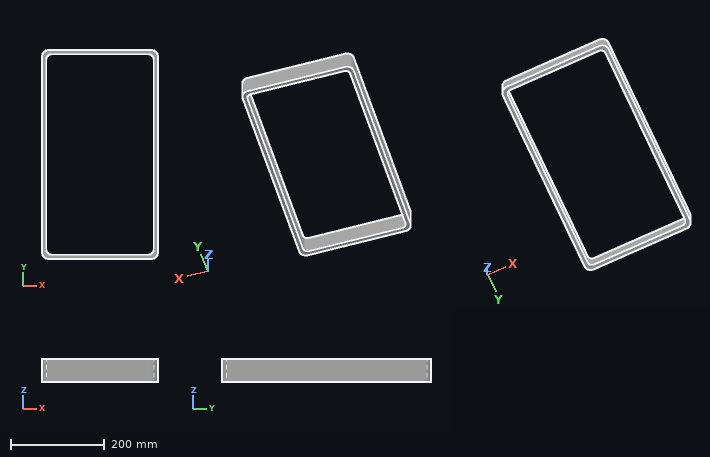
import cadquery as cq

LENGTH_X = 250.0
LENGTH_Y = 450.0
HEIGHT = 50.0

WALL = 10.0
OUTER_RADIUS = 15.0
INNER_RADIUS = 10.0


def rounded_block(size_x, size_y, corner_radius):
    """Full-height block with rounded vertical edges, standing on Z = 0."""
    block = cq.Workplane("XY").rect(size_x, size_y).extrude(HEIGHT)
    return block.edges("|Z").fillet(corner_radius)


outer_block = rounded_block(LENGTH_X, LENGTH_Y, OUTER_RADIUS)
opening = rounded_block(LENGTH_X - 2 * WALL, LENGTH_Y - 2 * WALL, INNER_RADIUS)

result = outer_block.cut(opening)